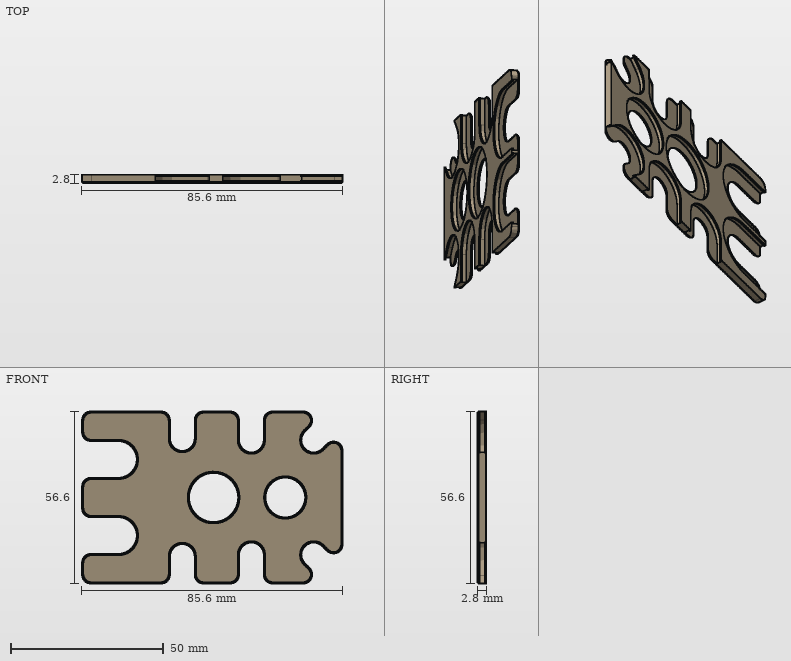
import cadquery as cq
import math

length = 85.6
depth = 2.8
height = 56.6

corner_radius = 3.0
edge_chamfer = 0.5
skin_depth = 0.75
lip_depth = 0.5
lip_width = 0.5

slot_x = -30.8
slot_z = 12.5
slot_radius = 6
slot_recess_radius = 12

notch_radius = 4.0
left_notch_x = -9.85
left_notch_z = 19.35
left_notch_recess_radius = 8.9
middle_notch_x = 12.8
middle_notch_z = 18.8
middle_notch_recess_radius = 9.4
corner_notch_x = 33.3
corner_notch_z = middle_notch_z
corner_notch_recess_radius = 9.5

open_cutouts = []
for side in (1, -1):
    open_cutouts += [
        (slot_x, side * slot_z, 180, slot_radius, slot_recess_radius),
        (left_notch_x, side * left_notch_z, side * 90, notch_radius, left_notch_recess_radius),
        (middle_notch_x, side * middle_notch_z, side * 90, notch_radius, middle_notch_recess_radius),
        (corner_notch_x, side * corner_notch_z, side * 45, notch_radius, corner_notch_recess_radius),
    ]

round_holes = [(0.4, 16.1 / 2), (24, 13.0 / 2)]
hole_recess_margin = 4.3

front_y = 0
skin_back_y = front_y + skin_depth
lip_front_y = depth - lip_depth

tolerance = 0.001


def extrude_back(outline, y_start, y_end):
    """Extrude an XZ outline toward +Y, against the normal of its plane."""
    return outline.extrude(y_start - y_end)


def disc(x, z, radius, y_start, y_end):
    plane = cq.Workplane("XZ", origin=(x, y_start, z))
    return extrude_back(plane.circle(radius), y_start, y_end)


def open_channel(x, z, angle, radius, y_start, y_end):
    """Round-ended channel that runs from (x, z) out past the plate edge."""
    run = length / 2
    plane = cq.Workplane("XZ", origin=(x, y_start, z))
    outline = (
        plane.moveTo(0, radius)
        .lineTo(run, radius)
        .lineTo(run, -radius)
        .lineTo(0, -radius)
        .threePointArc((-radius, 0), (0, radius))
        .close()
    )
    return extrude_back(outline, y_start, y_end).rotate((x, 0, z), (x, -1, z), angle)


def on_outer_outline(edge):
    centre = edge.Center()
    on_side = math.isclose(abs(centre.x), length / 2, abs_tol=tolerance)
    on_end = math.isclose(abs(centre.z), height / 2, abs_tol=tolerance)
    return on_side or on_end


plate = cq.Workplane("XY").box(length, depth, height).translate((0, depth / 2, 0))
for x, z, angle, radius, _ in open_cutouts:
    plate = plate.cut(open_channel(x, z, angle, radius, front_y, depth))
plate = plate.edges("|Y").filter(on_outer_outline).fillet(corner_radius)
for x, radius in round_holes:
    plate = plate.cut(disc(x, 0, radius, front_y, depth))
plate = plate.faces("<Y").edges().chamfer(edge_chamfer)

for x, z, angle, _, recess_radius in open_cutouts:
    plate = plate.cut(open_channel(x, z, angle, recess_radius, skin_back_y, lip_front_y))
    plate = plate.cut(open_channel(x, z, angle, recess_radius - lip_width, lip_front_y, depth))
for x, radius in round_holes:
    recess_radius = radius + hole_recess_margin
    plate = plate.cut(disc(x, 0, recess_radius, skin_back_y, lip_front_y))
    plate = plate.cut(disc(x, 0, recess_radius - lip_width, lip_front_y, depth))

result = plate